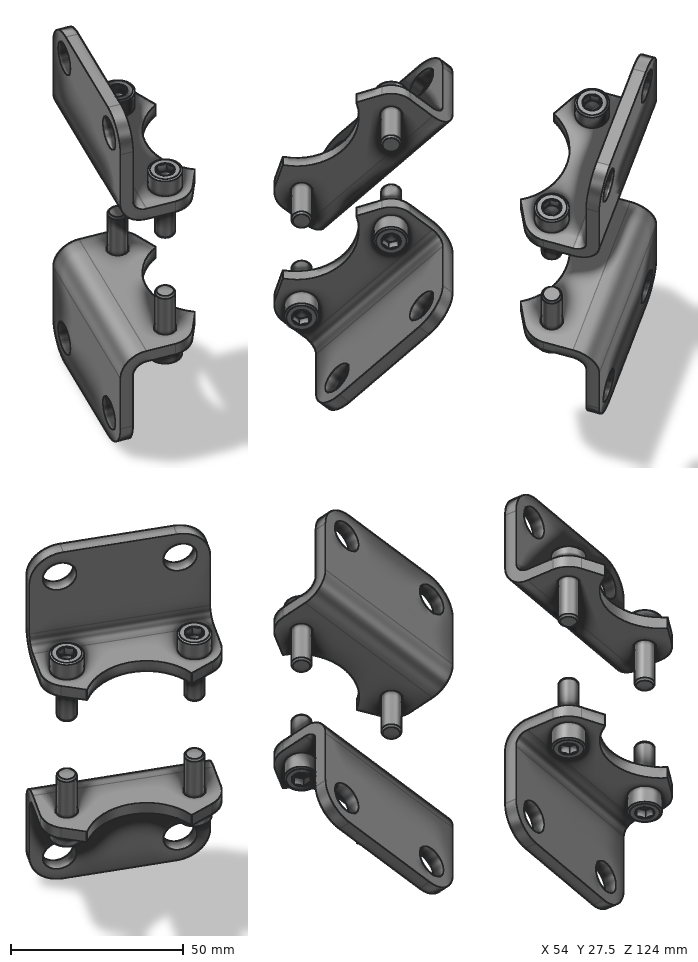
import cadquery as cq
import math

overall_height = 124.0
width = 54.0
depth = 27.5

flange_gap = 50.0
thickness = 4.0
inner_bend_radius = 4.1
outer_bend_radius = inner_bend_radius + thickness
flange_bottom = flange_gap / 2
flange_top = flange_bottom + thickness

plate_corner_radius = 10.0
mounting_hole_diameter = 10.0
mounting_hole_spacing = 36.0
mounting_hole_edge = (width - mounting_hole_spacing) / 2

screw_spacing = 38.1
screw_x = screw_spacing / 2
screw_y = 17.0
flange_corner_radius = width / 2 - screw_x
flange_tip_x = 15.7
saddle_radius = 18.0
saddle_bottom_y = 18.6
clearance_hole_diameter = 6.6

screw_diameter = 6.0
screw_protrusion = 14.0
screw_end_chamfer_height = 0.7
screw_end_chamfer_width = 0.5
head_diameter = 10.0
head_height = 6.0
head_chamfer_height = 0.4
head_chamfer_width = 0.6
socket_across_flats = 5.0
socket_across_corners = socket_across_flats / math.cos(math.pi / 6)
socket_depth = 3.0
socket_cone_angle = 120.0
socket_cone_height = socket_across_flats / 2 / math.tan(math.radians(socket_cone_angle / 2))
socket_lead_in_depth = 0.2


def make_bent_sheet():
    """L-shaped strip with a plain bend, upright plate at the front."""
    sheet_profile = (
        cq.Workplane("YZ")
        .moveTo(depth, flange_bottom)
        .lineTo(outer_bend_radius, flange_bottom)
        .radiusArc((0, flange_bottom + outer_bend_radius), outer_bend_radius)
        .lineTo(0, overall_height / 2)
        .lineTo(thickness, overall_height / 2)
        .lineTo(thickness, flange_top + inner_bend_radius)
        .radiusArc((outer_bend_radius, flange_top), -inner_bend_radius)
        .lineTo(depth, flange_top)
        .close()
    )
    return sheet_profile.extrude(width / 2, both=True)


def make_flange_outline():
    """Prism with the plan shape of the bracket, before the saddle is cut."""
    tip_dx = flange_tip_x - screw_x
    tip_dy = depth - screw_y
    tip_angle = math.atan2(tip_dy, tip_dx)
    tangent_angle = tip_angle - math.acos(flange_corner_radius / math.hypot(tip_dx, tip_dy))
    tangent_x = screw_x + flange_corner_radius * math.cos(tangent_angle)
    tangent_y = screw_y + flange_corner_radius * math.sin(tangent_angle)
    return (
        cq.Workplane("XY")
        .moveTo(-width / 2, 0)
        .lineTo(width / 2, 0)
        .lineTo(width / 2, screw_y)
        .radiusArc((tangent_x, tangent_y), -flange_corner_radius)
        .lineTo(flange_tip_x, depth)
        .lineTo(-flange_tip_x, depth)
        .lineTo(-tangent_x, tangent_y)
        .radiusArc((-width / 2, screw_y), -flange_corner_radius)
        .close()
        .extrude(overall_height / 2)
    )


def make_bracket():
    """Upper bracket with its saddle, mounting holes and screw clearance holes."""
    bracket = make_bent_sheet().intersect(make_flange_outline())
    bracket = bracket.edges("|Y and >Z").edges("<X or >X").fillet(plate_corner_radius)

    saddle = (
        cq.Workplane("XY")
        .center(0, saddle_bottom_y + saddle_radius)
        .circle(saddle_radius)
        .extrude(overall_height / 2)
    )
    mounting_hole_z = overall_height / 2 - mounting_hole_edge
    mounting_holes = (
        cq.Workplane("XZ")
        .pushPoints([(side * mounting_hole_spacing / 2, mounting_hole_z) for side in (-1, 1)])
        .circle(mounting_hole_diameter / 2)
        .extrude(-thickness)
    )
    clearance_holes = (
        cq.Workplane("XY", origin=(0, 0, flange_bottom))
        .pushPoints([(side * screw_x, screw_y) for side in (-1, 1)])
        .circle(clearance_hole_diameter / 2)
        .extrude(thickness)
    )
    return bracket.cut(saddle).cut(mounting_holes).cut(clearance_holes)


def make_socket():
    """Hexagonal socket with a conical lead-in and a conical floor, open at the head top."""
    hexagon = (
        cq.Workplane("XY", origin=(0, 0, head_height - socket_depth))
        .transformed(rotate=(0, 0, 90))
        .polygon(6, socket_across_corners)
        .extrude(socket_depth)
    )
    lead_in = (
        cq.Workplane("XY", origin=(0, 0, head_height))
        .circle(socket_across_corners / 2)
        .workplane(offset=-socket_lead_in_depth)
        .circle(socket_across_flats / 2)
        .loft(ruled=True)
    )
    floor_cone = (
        cq.Workplane("XZ", origin=(0, 0, head_height - socket_depth))
        .lineTo(socket_across_flats / 2, 0)
        .lineTo(0, -socket_cone_height)
        .close()
        .revolve(360, (0, 0), (0, 1))
    )
    return hexagon.union(lead_in).union(floor_cone)


def make_screw(x):
    """Upper screw on the axis at the given X, its head seated on the flange."""
    head = (
        cq.Workplane("XY")
        .circle(head_diameter / 2)
        .extrude(head_height)
        .faces(">Z")
        .edges()
        .chamfer(head_chamfer_height, head_chamfer_width)
    )
    shank = (
        cq.Workplane("XY")
        .circle(screw_diameter / 2)
        .extrude(-(thickness + screw_protrusion))
        .faces("<Z")
        .edges()
        .chamfer(screw_end_chamfer_height, screw_end_chamfer_width)
    )
    screw = head.union(shank).cut(make_socket())
    return screw.translate((x, screw_y, flange_top))


upper_bracket = make_bracket()
brackets = [upper_bracket, upper_bracket.mirror("XY")]

screws = []
for side in (-1, 1):
    upper_screw = make_screw(side * screw_x)
    screws.append(upper_screw)
    screws.append(upper_screw.mirror("XY"))

result = cq.Compound.makeCompound([body.val() for body in brackets + screws])